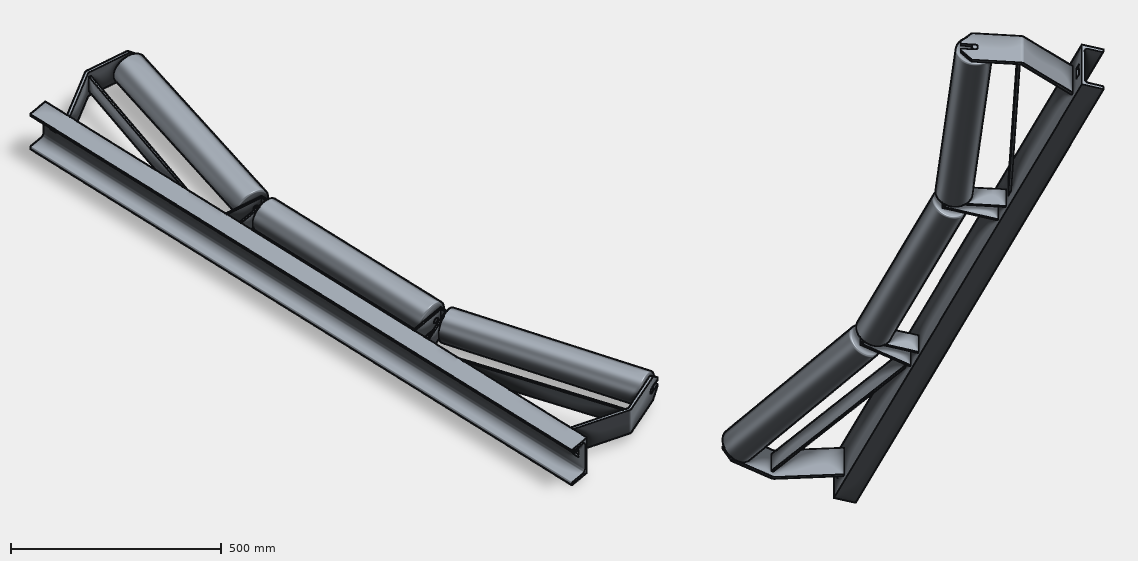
import cadquery as cq
import math


beam_length = 1700.0
beam_height = 120.0
beam_depth = 55.0
web_thickness = 7.0
flange_thickness = 9.0
root_radius = 9.0
toe_radius = 4.5
beam_slot_width = 18.0
beam_slot_height = 30.0
beam_slot_spacing = 1640.0

roller_diameter = 89.0
roller_length = 530.0
roller_edge_radius = 5.0
shaft_diameter = 15.0
inner_axis_height = 117.0
inner_axis_z = -20.0
trough_angle = 15.0
tilt_angle = 2.0
wing_inner_end_x = -302.18
wing_inner_end_y = 122.2

bracket_thickness = 5.0
bracket_width = 50.0
bracket_top = 140.0
bracket_gap = 5.0

post_thickness = 8.0
post_width = 80.0
post_gap = 5.0
post_bend_y = 152.5
post_bend_radius = 14.0
post_lower_angle = 24.0
post_tip_length = 147.0
post_corner_cut = 26.0

brace_thickness = 6.0
brace_width = 50.0
brace_angle = 17.8
brace_foot_x = -345.0

trough = math.radians(trough_angle)
tilt = math.radians(tilt_angle)
lean = math.radians(post_lower_angle)
slope = math.radians(brace_angle)
outward = cq.Vector(-math.cos(trough), math.sin(trough), 0)
upward = cq.Vector(math.sin(trough), math.cos(trough), 0)
wing_axis = outward * math.cos(tilt) + cq.Vector(0, 0, math.sin(tilt))
wing_inner_end = cq.Vector(wing_inner_end_x, wing_inner_end_y, inner_axis_z)
wing_outer_end = wing_inner_end + wing_axis * roller_length


def plan_prism(points, z_low, z_high):
    """Extrude an XY outline between two Z levels."""
    return cq.Workplane("XY", origin=(0, 0, z_low)).polyline(points).close().extrude(z_high - z_low)


def plan(vector):
    """XY coordinates of a vector."""
    return (vector.x, vector.y)


def make_beam():
    """Channel with its web at the back, rounded inside, and one mounting slot near each end."""
    half = beam_height / 2
    inner = half - flange_thickness
    outline = [
        (0, -half), (-beam_depth, -half), (-beam_depth, -inner), (-web_thickness, -inner),
        (-web_thickness, inner), (-beam_depth, inner), (-beam_depth, half), (0, half),
    ]
    beam = cq.Workplane("YZ").polyline(outline).close().extrude(beam_length / 2, both=True)

    def inner_edges(y):
        """Lengthwise edges on the flange inner faces at the given Y."""
        nearest = cq.selectors.NearestToPointSelector
        return beam.edges("|X").edges(nearest((0, y, inner)) + nearest((0, y, -inner)))

    beam = inner_edges(-web_thickness).fillet(root_radius)
    beam = inner_edges(-beam_depth).fillet(toe_radius)
    slots = (
        cq.Workplane("XZ")
        .pushPoints([(-beam_slot_spacing / 2, 0), (beam_slot_spacing / 2, 0)])
        .rect(beam_slot_width, beam_slot_height)
        .extrude(2 * web_thickness, both=True)
    )
    return beam.cut(slots)


def make_roller(start, axis, inner_reach, outer_reach):
    """Roller with rounded ends running from start along axis, its shaft reaching past both ends."""
    shell = cq.Workplane(cq.Plane(origin=start, normal=axis)).circle(roller_diameter / 2)
    shell = shell.extrude(roller_length).edges().fillet(roller_edge_radius)
    shaft = cq.Workplane(cq.Plane(origin=start - axis * inner_reach, normal=axis))
    shaft = shaft.circle(shaft_diameter / 2).extrude(inner_reach + roller_length + outer_reach)
    return shell.union(shaft)


def make_bracket():
    """Inverted U: one leg square to the middle roller, one square to the wing roller."""
    t = bracket_thickness
    straight_in = -(roller_length / 2 + bracket_gap)
    straight_out = straight_in - t
    leg_in = wing_inner_end - outward * bracket_gap
    leg_out = leg_in - outward * t

    def leg_x(point, y):
        return point.x + (y - point.y) * math.tan(trough)

    under = bracket_top - t
    outline = [
        (straight_in, 0), (straight_in, bracket_top), (leg_x(leg_in, bracket_top), bracket_top),
        (leg_x(leg_in, 0), 0), (leg_x(leg_out, 0), 0), (leg_x(leg_out, under), under),
        (straight_out, under), (straight_out, 0),
    ]
    return plan_prism(outline, inner_axis_z - bracket_width / 2, inner_axis_z + bracket_width / 2)


post_inner_face = wing_outer_end + outward * post_gap
post_outer_face = post_inner_face + outward * post_thickness
bend_rise = (post_bend_y - post_outer_face.y) / upward.y
bend_outer = post_outer_face + upward * bend_rise
half_bend = (trough + lean) / 2
bend_inner = bend_outer - outward * post_thickness + upward * (post_thickness * math.tan(half_bend))


def make_post():
    """Bent plate with a cornered tip and an open slot for the wing roller's shaft."""
    tip_outer = bend_outer + upward * post_tip_length
    tip_inner = tip_outer - outward * post_thickness
    outline = [
        (bend_outer.x + bend_outer.y * math.tan(lean), 0), plan(bend_outer), plan(tip_outer),
        plan(tip_inner), plan(bend_inner), (bend_inner.x + bend_inner.y * math.tan(lean), 0),
    ]
    half = post_width / 2
    post = plan_prism(outline, -half, half)

    def bend_edge(point):
        return post.edges("|Z").edges(cq.selectors.NearestToPointSelector((point.x, point.y, 0)))

    post = bend_edge(bend_outer).fillet(post_bend_radius)
    post = bend_edge(bend_inner).fillet(post_bend_radius - post_thickness)
    leg_plane = cq.Plane(origin=(tip_outer.x, tip_outer.y, 0), xDir=upward, normal=outward)
    for side in (-1, 1):
        corner = [(0, side * half), (-post_corner_cut, side * half), (0, side * (half - post_corner_cut))]
        cutter = cq.Workplane(leg_plane).polyline(corner).close().extrude(post_thickness * 2, both=True)
        post = post.cut(cutter)
    slot_centre = post_inner_face + wing_axis * (post_thickness / 2)
    slot_plane = cq.Plane(origin=slot_centre, xDir=upward, normal=outward)
    slot = cq.Workplane(slot_plane).circle(shaft_diameter / 2).extrude(post_thickness, both=True)
    mouth = cq.Workplane(slot_plane).rect(post_tip_length, shaft_diameter).extrude(post_thickness, both=True)
    mouth = mouth.translate(upward * (post_tip_length / 2))
    return post.cut(slot).cut(mouth)


def make_brace():
    """Flat strip from the beam up to the inner face of the post, just above its bend."""
    run = cq.Vector(-math.cos(slope), math.sin(slope), 0)
    toe_step = brace_thickness / math.sin(slope)

    def meet_post(foot_x):
        """Point where a line from the foot along the brace meets the post's inner face."""
        offset = post_inner_face - cq.Vector(foot_x, 0, post_inner_face.z)
        return cq.Vector(foot_x, 0, 0) + run * (offset.dot(outward) / run.dot(outward))

    upper = meet_post(brace_foot_x)
    lower = meet_post(brace_foot_x - toe_step)
    outline = [(brace_foot_x, 0), plan(upper), plan(lower), (brace_foot_x - toe_step, 0)]
    return plan_prism(outline, -brace_width / 2, brace_width / 2)


bracket_reach = bracket_gap + bracket_thickness
middle_start = cq.Vector(-roller_length / 2, inner_axis_height, inner_axis_z)

beam = make_beam()
middle_roller = make_roller(middle_start, cq.Vector(1, 0, 0), bracket_reach, bracket_reach)
wing_roller = make_roller(wing_inner_end, wing_axis, bracket_reach, post_gap + post_thickness)
bracket = make_bracket().cut(middle_roller).cut(wing_roller)
post = make_post().cut(wing_roller)
brace = make_brace().cut(post)

bodies = [*beam.solids().vals(), *middle_roller.solids().vals()]
for left_body in (wing_roller, bracket, post, brace):
    bodies.extend(left_body.solids().vals())
    bodies.extend(left_body.mirror("YZ").solids().vals())

result = cq.Compound.makeCompound(bodies)